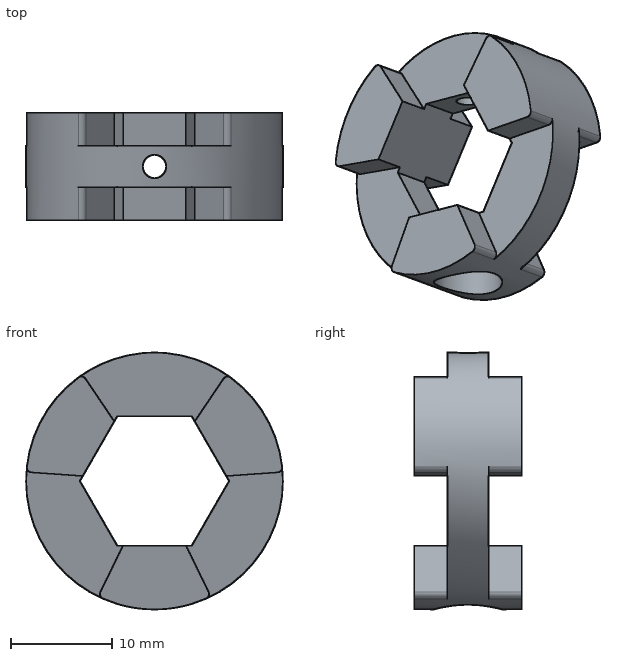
import cadquery as cq
import math

outer_radius = 12.7
total_width = 10.67
ring_width = 4.06
hex_across_flats = 12.75

jaw_count = 3
jaw_angle = 52.0
jaw_corner_radius = 0.5

top_hole_diameter = 2.29
bottom_hole_diameter = 3.25
counterbore_diameter = 6.75
counterbore_depth = 3.05


def outer_cylinder():
    """Full-width cylinder along Y, with its seam at the top, between two jaws."""
    cylinder = cq.Workplane("XZ").circle(outer_radius).extrude(total_width / 2, both=True)
    return cylinder.rotate((0, 0, 0), (0, 1, 0), -90)


def top_gap():
    """Pair of wedges centred on +Z that clear the space between two jaws, either side of the ring."""
    half_angle = math.radians(360 / jaw_count - jaw_angle) / 2
    wedge_height = 2 * outer_radius
    wedge_half_width = wedge_height * math.tan(half_angle)
    wedge = (
        cq.Workplane("XZ")
        .lineTo(wedge_half_width, wedge_height)
        .lineTo(-wedge_half_width, wedge_height)
        .close()
        .extrude(total_width, both=True)
    )
    ring_slab = cq.Workplane("XY").box(5 * outer_radius, ring_width, 5 * outer_radius)
    return wedge.cut(ring_slab)


def is_outer_jaw_corner(edge):
    """True for an edge on the outer radius that lies beyond the ring faces."""
    center = edge.Center()
    on_outer_radius = math.hypot(center.x, center.z) > outer_radius - jaw_corner_radius
    return on_outer_radius and abs(center.y) > ring_width / 2


def hex_bore():
    """Hexagonal prism with flats facing +Z and -Z."""
    across_corners = hex_across_flats / math.cos(math.radians(30))
    return cq.Workplane("XZ").polygon(6, across_corners).extrude(total_width, both=True)


def radial_hole(diameter, start_z, end_z):
    """Cylinder along Z between two heights."""
    return (
        cq.Workplane("XY", origin=(0, 0, start_z))
        .circle(diameter / 2)
        .extrude(end_z - start_z)
    )


body = outer_cylinder()
gap = top_gap()
for index in range(jaw_count):
    body = body.cut(gap.rotate((0, 0, 0), (0, 1, 0), index * 360 / jaw_count))
jaw_corners = body.edges("|Y").filter(is_outer_jaw_corner)
body = jaw_corners.fillet(jaw_corner_radius)

body = body.cut(hex_bore())
body = body.cut(radial_hole(top_hole_diameter, 0, outer_radius))
body = body.cut(radial_hole(bottom_hole_diameter, -outer_radius, 0))
counterbore_floor = counterbore_depth - outer_radius
result = body.cut(radial_hole(counterbore_diameter, -outer_radius, counterbore_floor))